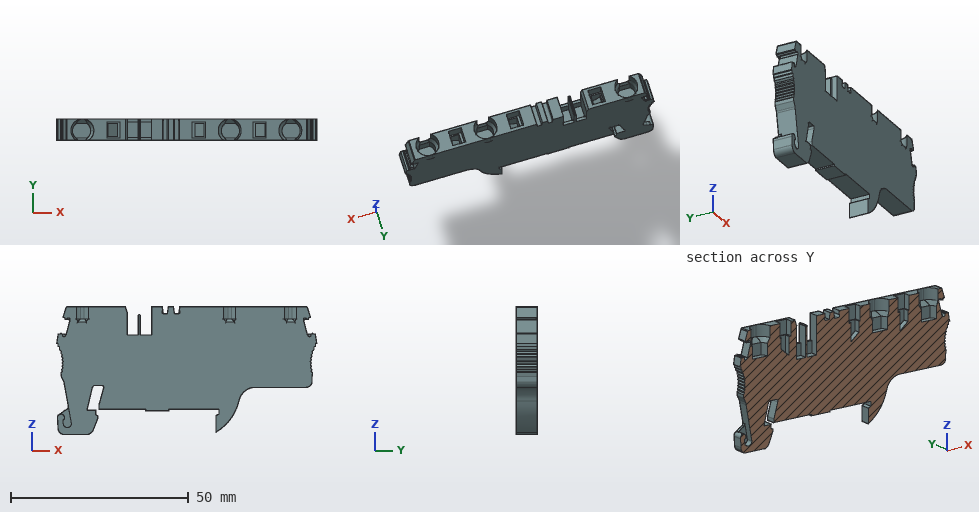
import cadquery as cq
import math

length = 73.25
width = 6.0
height = 36.0

grip_arc_radius = 10.25
grip_deepest_x = 1.55
grip_mid_z = 20.15
grip_length = 6.45
tooth_count = 7
tooth_pitch = grip_length / tooth_count
tooth_depth = 0.3

rail_seat_z = 7.1
pad_start_x = 25.05
pad_end_x = 31.6
pad_z = 6.7
hook_x = 44.8
hook_tip_z = 0.65
right_bottom_z = 13.25
web_thickness = 0.95

well_left_x = 19.9
well_right_x = 26.7
well_floor_z = 28.05
well_lead_in_x = 19.3
well_lead_in_z = 34.3
fin_left_x = 22.9
fin_right_x = 23.6
fin_top_z = 33.85
fin_chamfer = 0.3
well_wall = 0.8
well_recess_depth = 3.65
well_recess_width = 4.4

groove_floor_z = 34.05
groove_1 = (30.0, 31.1)
groove_2 = (33.2, 34.35)
groove_flare = 0.3

nook_radius = 0.45
nook_depth = 5.6

holes = ((7.25, -1), (48.7, 1), (65.8, 1))
hole_radius = 3.2
hole_mouth_width = 3.4
hole_centre_y = math.sqrt(hole_radius**2 - (hole_mouth_width / 2)**2)
hole_back_y = 5.9
hole_taper_top_z = 32.5
hole_taper_bottom_z = 31.0

shaft_radius = 2.6
shaft_width = 4.1
shaft_centre_y = 2.65
shaft_shift_x = 0.2
shaft_floor_z = 27.3

funnels = ((14.1, 1), (38.15, -1), (55.2, -1))
funnel_length = 3.7
funnel_width = 4.4
funnel_start_y = 0.695
funnel_rim = 0.4
funnel_step_depth = 4.4
funnel_depth = 8.8
funnel_slope = 40.0


def mirrored(points):
    """Points of a left-end outline moved to the right end, in reverse order."""
    return [(length - x, z) for x, z in reversed(points)]


def grip_teeth():
    """Sawtooth outline along the grip arc, from the top tooth down."""
    centre_x = grip_deepest_x - grip_arc_radius
    points = []
    for i in range(tooth_count):
        for radius, shift in ((grip_arc_radius + tooth_depth, 0.5), (grip_arc_radius, 0.0)):
            arc_length = ((tooth_count - 1) / 2 - i + shift) * tooth_pitch
            angle = arc_length / grip_arc_radius
            points.append((centre_x + radius * math.cos(angle), grip_mid_z + radius * math.sin(angle)))
    return points


def end_outline():
    """Left end from the top edge down to the last grip tooth."""
    marker_notch = [
        (2.85, height), (2.65, 35.75), (1.75, 32.95), (2.3, 32.9),
        (2.4, 32.45), (3.15, 32.45), (3.7, 32.2), (2.65, 28.05),
    ]
    ledge = [
        (2.4, 28.05), (2.3, 28.35), (1.5, 28.35), (1.25, 28.6), (1.0, 28.35), (0.45, 28.35),
        (0.0, 25.7), (0.4, 25.6), (0.4, 24.8), (0.7, 24.75), (0.8, 23.95),
    ]
    return marker_notch + ledge + grip_teeth()


def body():
    left_end = end_outline()
    right_end = mirrored(left_end)
    outline = (
        cq.Workplane("XZ")
        .polyline(left_end)
        .lineTo(1.3, 16.3)
        .lineTo(2.05, 14.8)
        .lineTo(2.1, 14.3)
        .lineTo(4.2, 3.1)
        .threePointArc((3.1, 2.0), (1.9, 2.8))
        .lineTo(1.75, 3.8)
        .threePointArc((1.9, 4.2), (2.2, 4.4))
        .lineTo(2.2, 4.7)
        .threePointArc((1.2, 5.8), (0.2, 4.55))
        .lineTo(0.4, 1.9)
        .threePointArc((0.8, 0.65), (1.9, 0.0))
        .lineTo(8.8, 0.0)
        .threePointArc((9.75, 0.5), (10.4, 1.5))
        .lineTo(11.65, 4.6)
        .lineTo(11.65, 5.3)
        .lineTo(11.05, 5.6)
        .lineTo(11.05, 6.9)
        .lineTo(8.6, 6.9)
        .lineTo(10.1, 13.3)
        .lineTo(10.5, 13.8)
        .lineTo(12.9, 13.8)
        .threePointArc((13.2, 13.55), (13.2, 13.05))
        .lineTo(11.9, 8.3)
        .lineTo(11.9, rail_seat_z)
        .lineTo(pad_start_x, rail_seat_z)
        .lineTo(pad_start_x, pad_z)
        .lineTo(pad_end_x, pad_z)
        .lineTo(pad_end_x, rail_seat_z)
        .lineTo(45.6, rail_seat_z)
        .lineTo(45.6, 5.8)
        .lineTo(hook_x, 5.35)
        .lineTo(hook_x, hook_tip_z)
        .threePointArc((48.9, 4.3), (51.35, 9.5))
        .threePointArc((52.65, 11.95), (55.3, right_bottom_z))
        .lineTo(70.25, right_bottom_z)
        .threePointArc((71.4, 13.8), (71.9, 14.8))
        .lineTo(71.9, 16.4)
        .polyline(right_end, includeCurrent=True)
        .lineTo(groove_2[1] + groove_flare, height)
        .lineTo(groove_2[1], groove_floor_z)
        .lineTo(groove_2[0], groove_floor_z)
        .lineTo(groove_2[0] - groove_flare, height)
        .lineTo(groove_1[1] + groove_flare, height)
        .lineTo(groove_1[1], groove_floor_z)
        .lineTo(groove_1[0], groove_floor_z)
        .lineTo(groove_1[0] - groove_flare, height)
        .lineTo(well_right_x, height)
        .lineTo(well_right_x, well_floor_z)
        .lineTo(fin_right_x, well_floor_z)
        .lineTo(fin_right_x, fin_top_z - fin_chamfer)
        .lineTo(fin_right_x - fin_chamfer, fin_top_z)
        .lineTo(fin_left_x + fin_chamfer, fin_top_z)
        .lineTo(fin_left_x, fin_top_z - fin_chamfer)
        .lineTo(fin_left_x, well_floor_z)
        .lineTo(well_left_x, well_floor_z)
        .lineTo(well_left_x, well_lead_in_z)
        .lineTo(well_lead_in_x, height)
        .close()
    )
    return outline.extrude(-width)


def hook_web():
    """Thin web on the back face that closes the spring slot."""
    web = (
        cq.Workplane("XZ", origin=(0, width - web_thickness, 0))
        .polyline([
            (3.3, 8.0), (3.1, 7.25), (2.2, 6.75), (1.1, 5.9),
            (1.1, 2.2), (3.1, 1.5), (4.75, 2.9), (4.0, 7.3),
        ])
        .close()
    )
    return web.extrude(-web_thickness)


def nooks():
    end_centres = [(3.3, 32.45), (2.1, 28.0)]
    groove_z = groove_floor_z + nook_radius
    centres = end_centres + mirrored(end_centres) + [(groove_1[0], groove_z), (groove_2[1], groove_z)]
    return cq.Workplane("XZ").pushPoints(centres).circle(nook_radius).extrude(-nook_depth)


def well_recesses():
    cutter = cq.Workplane("XY")
    for left, right in ((well_left_x, fin_left_x), (fin_right_x, well_right_x)):
        cutter = cutter.union(
            cq.Workplane("XY", origin=(left, well_wall, well_floor_z - well_recess_depth))
            .box(right - left, well_recess_width, well_recess_depth, centered=False)
        )
    return cutter


def screwdriver_hole(centre_x, shift_direction):
    shaft_x = centre_x + shift_direction * shaft_shift_x
    taper_depth = hole_taper_top_z - hole_taper_bottom_z
    mouth = (
        cq.Workplane("XY", origin=(centre_x, hole_centre_y, hole_taper_top_z))
        .circle(hole_radius)
        .extrude(height - hole_taper_top_z)
    )
    taper = (
        cq.Workplane("XY", origin=(centre_x, hole_centre_y, hole_taper_top_z))
        .circle(hole_radius)
        .workplane(offset=-taper_depth)
        .center(shaft_x - centre_x, shaft_centre_y - hole_centre_y)
        .circle(shaft_radius)
        .loft()
    )
    shaft = (
        cq.Workplane("XY", origin=(shaft_x, shaft_centre_y, shaft_floor_z))
        .circle(shaft_radius)
        .extrude(hole_taper_bottom_z - shaft_floor_z)
    )
    half_top = hole_back_y - shaft_centre_y
    half_bottom = shaft_width / 2
    half_profile = [
        (half_bottom, shaft_floor_z), (half_bottom, hole_taper_bottom_z),
        (half_top, hole_taper_top_z), (half_top, height),
    ]
    flats = (
        cq.Workplane("YZ", origin=(centre_x - 2 * hole_radius, shaft_centre_y, 0))
        .polyline(half_profile + [(-y, z) for y, z in reversed(half_profile)])
        .close()
        .extrude(4 * hole_radius)
    )
    return mouth.union(taper).union(shaft).intersect(flats)


def wire_funnel(left, slope_direction):
    """Rectangular pocket, stepped to a narrower one whose floor is sloped along X."""
    mouth = (
        cq.Workplane("XY", origin=(left, funnel_start_y, height - funnel_step_depth))
        .box(funnel_length, funnel_width, funnel_step_depth, centered=False)
    )
    wide_rim = 2 * funnel_rim
    x_start = left + (funnel_rim if slope_direction > 0 else wide_rim)
    x_end = x_start + funnel_length - funnel_rim - wide_rim
    half_rise = (x_end - x_start) / 2 * math.tan(math.radians(funnel_slope)) * slope_direction
    floor_z = height - funnel_depth
    throat = (
        cq.Workplane("XZ", origin=(0, funnel_start_y + funnel_rim, 0))
        .polyline([
            (x_start, height), (x_start, floor_z + half_rise),
            (x_end, floor_z - half_rise), (x_end, height),
        ])
        .close()
        .extrude(-(funnel_width - 2 * funnel_rim))
    )
    return mouth.union(throat)


result = body().union(hook_web()).cut(nooks()).cut(well_recesses())
for hole_x, shift in holes:
    result = result.cut(screwdriver_hole(hole_x, shift))
for funnel_x, slope in funnels:
    result = result.cut(wire_funnel(funnel_x, slope))